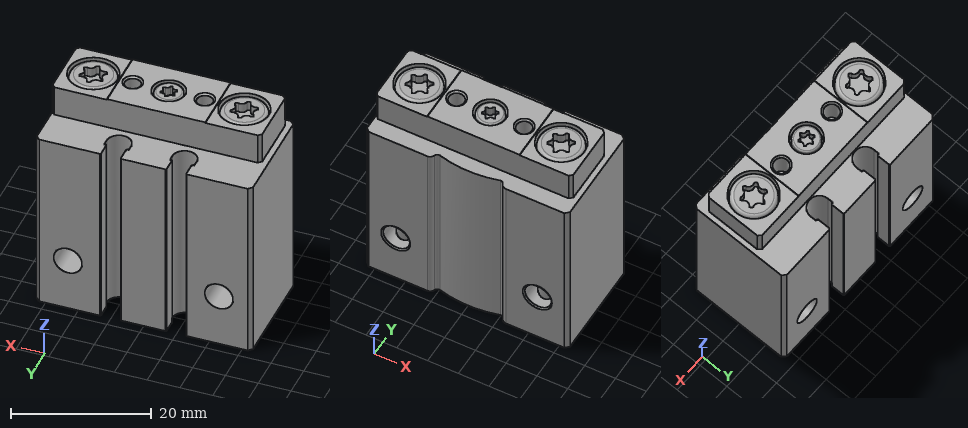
import cadquery as cq
import math

HOUSING_WIDTH = 33.0
HOUSING_DEPTH = 17.0
HOUSING_HEIGHT = 29.0
HOUSING_CHAMFER = 0.6

CHANNEL_HALF_WIDTH = 6.37
CROWN_HALF_WIDTH = 4.95
CHANNEL_DEPTH = 1.0
CROWN_DEPTH = 0.35
LIP_RADIUS = 0.85

SLOT_OFFSET = 5.0
SLOT_NECK_WIDTH = 3.0
SLOT_NECK_DEPTH = 2.38
SLOT_DIAMETER = 3.7
SLOT_ROUND_CENTRE_DEPTH = 3.3
SLOT_EDGE_CHAMFER = 0.15

GUIDE_OFFSET = 11.5
MOUNT_HEIGHT = 8.5
MOUNT_DIAMETER = 4.3
MOUNT_SINK_DIAMETER = 4.75
BOTTOM_HOLE_DIAMETER = 3.25
BOTTOM_HOLE_Y = 3.5

TOTAL_HEIGHT = 35.0
YOKE_WIDTH = 32.0
YOKE_DEPTH = 10.0
YOKE_BOTTOM = 30.0
YOKE_CHAMFER = 0.5
YOKE_CENTRE_Y = 7.0
PAD_WIDTH = 15.0
PAD_RISE = 0.1
YOKE_END_TOP = TOTAL_HEIGHT - PAD_RISE

GUIDE_DIAMETER = 6.0
GUIDE_TOP_CHAMFER = 0.3
PISTON_ROD_DIAMETER = 4.0

THREAD_OFFSET = 5.5
THREAD_DIAMETER = 2.45
THREAD_SINK_DIAMETER = 3.0
SINK_ANGLE = 90

HEAD_SINK = 0.1
SEAT_DEPTH = 2.0
GUIDE_SEAT_DIAMETER = 7.5
GUIDE_HEAD_DIAMETER = 7.0
GUIDE_HEAD_FILLET = 0.63
GUIDE_SOCKET_DIAMETER = 4.0
PISTON_SEAT_DIAMETER = 5.0
PISTON_HEAD_DIAMETER = 4.3
PISTON_HEAD_FILLET = 0.28
PISTON_SOCKET_DIAMETER = 2.45

SOCKET_DEPTH = 1.5
SOCKET_LOBES = 6
FIRST_LOBE_ANGLE = 90
LOBE_HALF_ANGLE = 10
FLANK_RATIO = 0.87
VALLEY_RATIO = 0.7


def cylinder(x, y, bottom, top, diameter):
    """Upright cylinder between two heights."""
    return cq.Workplane("XY", origin=(x, y, bottom)).circle(diameter / 2).extrude(top - bottom)


def channel_cutter():
    """Each side wall is an S of two arcs, horizontal at the lip and at the crown."""
    run = CHANNEL_HALF_WIDTH - CROWN_HALF_WIDTH
    radius_sum = (run**2 + CHANNEL_DEPTH**2) / (2 * CHANNEL_DEPTH)
    root_radius = radius_sum - LIP_RADIUS
    lip_share = LIP_RADIUS / radius_sum
    bend_x = CHANNEL_HALF_WIDTH - run * lip_share
    bend_y = CHANNEL_DEPTH * lip_share
    profile = (
        cq.Workplane("XY")
        .moveTo(-CHANNEL_HALF_WIDTH, 0)
        .radiusArc((-bend_x, bend_y), -LIP_RADIUS)
        .radiusArc((-CROWN_HALF_WIDTH, CHANNEL_DEPTH), root_radius)
        .threePointArc((0, CROWN_DEPTH), (CROWN_HALF_WIDTH, CHANNEL_DEPTH))
        .radiusArc((bend_x, bend_y), root_radius)
        .radiusArc((CHANNEL_HALF_WIDTH, 0), -LIP_RADIUS)
        .close()
    )
    return profile.extrude(HOUSING_HEIGHT)


def slot_cutter(x):
    """Neck with chamfered edges, opening into a wider pocket with a round floor."""
    neck_half = SLOT_NECK_WIDTH / 2
    flare_half = neck_half + SLOT_EDGE_CHAMFER
    pocket_half = SLOT_DIAMETER / 2
    shoulder_y = HOUSING_DEPTH - SLOT_NECK_DEPTH
    round_y = HOUSING_DEPTH - SLOT_ROUND_CENTRE_DEPTH
    profile = (
        cq.Workplane("XY", origin=(x, 0, 0))
        .moveTo(-flare_half, HOUSING_DEPTH)
        .lineTo(-neck_half, HOUSING_DEPTH - SLOT_EDGE_CHAMFER)
        .lineTo(-neck_half, shoulder_y + SLOT_EDGE_CHAMFER)
        .lineTo(-flare_half, shoulder_y)
        .lineTo(-pocket_half, shoulder_y)
        .lineTo(-pocket_half, round_y)
        .threePointArc((0, round_y - pocket_half), (pocket_half, round_y))
        .lineTo(pocket_half, shoulder_y)
        .lineTo(flare_half, shoulder_y)
        .lineTo(neck_half, shoulder_y + SLOT_EDGE_CHAMFER)
        .lineTo(neck_half, HOUSING_DEPTH - SLOT_EDGE_CHAMFER)
        .lineTo(flare_half, HOUSING_DEPTH)
        .close()
    )
    return profile.extrude(HOUSING_HEIGHT)


def mount_hole_cutter(x):
    """Through hole along Y, countersunk at the front face."""
    bore_radius = MOUNT_DIAMETER / 2
    sink_radius = MOUNT_SINK_DIAMETER / 2
    half_section = [
        (0, 0),
        (sink_radius, 0),
        (bore_radius, sink_radius - bore_radius),
        (bore_radius, HOUSING_DEPTH),
        (0, HOUSING_DEPTH),
    ]
    section = cq.Workplane("XY", origin=(x, 0, MOUNT_HEIGHT)).polyline(half_section).close()
    return section.revolve(360, (0, 0, 0), (0, 1, 0))


def make_housing():
    body = (
        cq.Workplane("XY", origin=(0, HOUSING_DEPTH / 2, 0))
        .rect(HOUSING_WIDTH, HOUSING_DEPTH)
        .extrude(HOUSING_HEIGHT)
        .edges("|Z")
        .chamfer(HOUSING_CHAMFER)
        .cut(channel_cutter())
    )
    for side in (-1, 1):
        hole_x = side * GUIDE_OFFSET
        body = body.cut(slot_cutter(side * SLOT_OFFSET))
        body = body.cut(mount_hole_cutter(hole_x))
        body = body.cut(cylinder(hole_x, BOTTOM_HOLE_Y, 0, MOUNT_HEIGHT, BOTTOM_HOLE_DIAMETER))
    return body


def make_plate():
    """Chamfered plate with a slightly raised centre pad and two countersunk holes."""
    plate = (
        cq.Workplane("XY", origin=(0, YOKE_CENTRE_Y, YOKE_BOTTOM))
        .rect(YOKE_WIDTH, YOKE_DEPTH)
        .extrude(YOKE_END_TOP - YOKE_BOTTOM)
        .edges("|Z")
        .chamfer(YOKE_CHAMFER)
    )
    pad = (
        cq.Workplane("XY", origin=(0, YOKE_CENTRE_Y, YOKE_END_TOP))
        .rect(PAD_WIDTH, YOKE_DEPTH)
        .extrude(PAD_RISE)
    )
    return (
        plate.union(pad)
        .faces(">Z")
        .workplane(origin=(0, YOKE_CENTRE_Y, TOTAL_HEIGHT))
        .pushPoints([(-THREAD_OFFSET, 0), (THREAD_OFFSET, 0)])
        .cskHole(THREAD_DIAMETER, THREAD_SINK_DIAMETER, SINK_ANGLE)
    )


def polar(radius, degrees):
    angle = math.radians(degrees)
    return (radius * math.cos(angle), radius * math.sin(angle))


def socket_cutter(x, top, diameter):
    """Star outline of alternating lobe and valley arcs."""
    tip = diameter / 2
    flank = tip * FLANK_RATIO
    valley = tip * VALLEY_RATIO
    pitch = 360 / SOCKET_LOBES
    outline = cq.Workplane("XY", origin=(x, YOKE_CENTRE_Y, top - SOCKET_DEPTH))
    outline = outline.moveTo(*polar(flank, FIRST_LOBE_ANGLE - LOBE_HALF_ANGLE))
    for lobe in range(SOCKET_LOBES):
        angle = FIRST_LOBE_ANGLE + lobe * pitch
        lobe_end = polar(flank, angle + LOBE_HALF_ANGLE)
        next_lobe_start = polar(flank, angle + pitch - LOBE_HALF_ANGLE)
        outline = outline.threePointArc(polar(tip, angle), lobe_end)
        outline = outline.threePointArc(polar(valley, angle + pitch / 2), next_lobe_start)
    return outline.close().extrude(SOCKET_DEPTH)


def add_screw_head(plate, x, face, seat_diameter, head_diameter, head_fillet, socket_diameter):
    """Screw head standing in a round seat just below the plate face."""
    floor = face - SEAT_DEPTH
    head_top = face - HEAD_SINK
    seat = cylinder(x, YOKE_CENTRE_Y, floor, face, seat_diameter)
    head = cylinder(x, YOKE_CENTRE_Y, floor, head_top, head_diameter)
    head = head.faces(">Z").edges().fillet(head_fillet)
    head = head.cut(socket_cutter(x, head_top, socket_diameter))
    return plate.cut(seat).union(head)


def make_yoke():
    body = add_screw_head(
        make_plate(),
        0,
        TOTAL_HEIGHT,
        PISTON_SEAT_DIAMETER,
        PISTON_HEAD_DIAMETER,
        PISTON_HEAD_FILLET,
        PISTON_SOCKET_DIAMETER,
    )
    body = body.union(cylinder(0, YOKE_CENTRE_Y, HOUSING_HEIGHT, YOKE_BOTTOM, PISTON_ROD_DIAMETER))
    for x in (-GUIDE_OFFSET, GUIDE_OFFSET):
        body = add_screw_head(
            body,
            x,
            YOKE_END_TOP,
            GUIDE_SEAT_DIAMETER,
            GUIDE_HEAD_DIAMETER,
            GUIDE_HEAD_FILLET,
            GUIDE_SOCKET_DIAMETER,
        )
        guide_rod = cylinder(x, YOKE_CENTRE_Y, HOUSING_HEIGHT, YOKE_BOTTOM, GUIDE_DIAMETER)
        body = body.union(guide_rod.faces(">Z").chamfer(GUIDE_TOP_CHAMFER))
    return body


housing = make_housing()
yoke = make_yoke()
result = cq.Compound.makeCompound([*housing.solids().vals(), *yoke.solids().vals()])